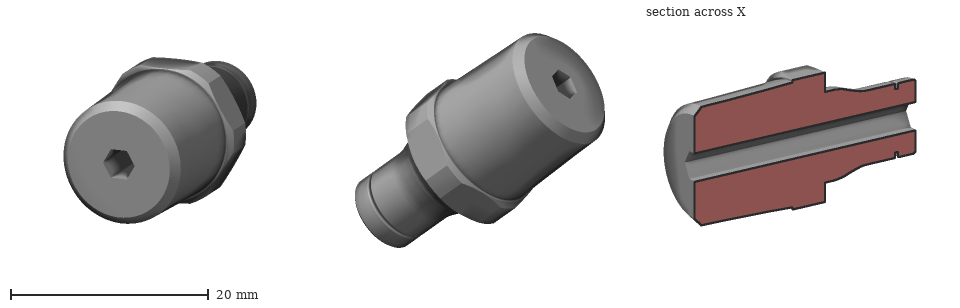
import cadquery as cq
import math


thread_length = 11.9
gauge_length = 6.0
gauge_radius = 13.157 / 2
radial_taper = 1 / 32
thread_chamfer = 0.85

hex_length = 4.0
hex_across_flats = 14.0
hex_corner_radius = 7.5
hex_chamfer_radial = 0.55
hex_chamfer_axial = 0.42

total_length = 26.9
stem_radius = 4.025
stem_chamfer = 0.25
shoulder_radius = 4.925
shoulder_length = 1.1
flare_length = 3.9
flare_slope = math.radians(18.3)

groove_radius = 3.45
groove_width = 0.3
groove_edge_rounding = 0.15
groove_from_end = 2.2

socket_across_flats = 3.0

hex_start = thread_length
hex_end = hex_start + hex_length


def hexagon(across_flats, start, length):
    """Hexagonal bar along Y with corners on the X axis."""
    across_corners = across_flats / math.cos(math.pi / 6)
    return (
        cq.Workplane("XZ", origin=(0, start, 0))
        .polygon(6, across_corners)
        .extrude(-length)
    )


def revolve_about_y(outline):
    """Turn a closed (radius, Y) outline about the Y axis."""
    return outline.close().revolve(360, (0, 0), (0, 1))


def thread_radius(y):
    """Radius of the tapered thread body at position Y."""
    return gauge_radius + (y - gauge_length) * radial_taper


def thread_body():
    """Tapered body with a 45 degree lead-in."""
    lead_radius = thread_radius(thread_chamfer)
    outline = (
        cq.Workplane("XY")
        .lineTo(lead_radius - thread_chamfer, 0)
        .lineTo(lead_radius, thread_chamfer)
        .lineTo(thread_radius(thread_length), thread_length)
        .lineTo(0, thread_length)
    )
    return revolve_about_y(outline)


def hex_collar():
    """Hexagon with its corners turned down to a cylinder and coned at both ends."""
    end_radius = hex_corner_radius - hex_chamfer_radial
    outline = (
        cq.Workplane("XY")
        .moveTo(0, hex_start)
        .lineTo(end_radius, hex_start)
        .lineTo(hex_corner_radius, hex_start + hex_chamfer_axial)
        .lineTo(hex_corner_radius, hex_end - hex_chamfer_axial)
        .lineTo(end_radius, hex_end)
        .lineTo(0, hex_end)
    )
    return hexagon(hex_across_flats, hex_start, hex_length).intersect(revolve_about_y(outline))


def stem():
    """Shoulder, S-shaped flare with a straight cone between two tangent arcs, and plain tube end."""
    flare_start = hex_end + shoulder_length
    flare_end = flare_start + flare_length

    cone_tangent = math.tan(flare_slope)
    half_tangent = math.tan(flare_slope / 2)
    radial_drop = shoulder_radius - stem_radius
    arc_length = (flare_length * cone_tangent - radial_drop) / (2 * (cone_tangent - half_tangent))
    arc_drop = arc_length * half_tangent

    arc_radius = arc_length / math.sin(flare_slope)
    mid_arc_length = arc_radius * math.sin(flare_slope / 2)
    mid_arc_drop = arc_radius * (1 - math.cos(flare_slope / 2))

    outline = (
        cq.Workplane("XY")
        .moveTo(0, hex_end)
        .lineTo(shoulder_radius, hex_end)
        .lineTo(shoulder_radius, flare_start)
        .threePointArc(
            (shoulder_radius - mid_arc_drop, flare_start + mid_arc_length),
            (shoulder_radius - arc_drop, flare_start + arc_length),
        )
        .lineTo(stem_radius + arc_drop, flare_end - arc_length)
        .threePointArc(
            (stem_radius + mid_arc_drop, flare_end - mid_arc_length),
            (stem_radius, flare_end),
        )
        .lineTo(stem_radius, total_length - stem_chamfer)
        .lineTo(stem_radius - stem_chamfer, total_length)
        .lineTo(0, total_length)
    )
    return revolve_about_y(outline)


def groove_cutter():
    """Ring that cuts a narrow groove and rounds off both of its outer edges."""
    groove_top = total_length - groove_from_end
    groove_bottom = groove_top - groove_width
    wall_radius = stem_radius - groove_edge_rounding
    rounding_middle = groove_edge_rounding * (1 - math.sqrt(0.5))
    outline = (
        cq.Workplane("XY")
        .moveTo(groove_radius, groove_bottom)
        .lineTo(wall_radius, groove_bottom)
        .threePointArc(
            (stem_radius - rounding_middle, groove_bottom - rounding_middle),
            (stem_radius, groove_bottom - groove_edge_rounding),
        )
        .lineTo(stem_radius, groove_top + groove_edge_rounding)
        .threePointArc(
            (stem_radius - rounding_middle, groove_top + rounding_middle),
            (wall_radius, groove_top),
        )
        .lineTo(groove_radius, groove_top)
    )
    return revolve_about_y(outline)


socket = hexagon(socket_across_flats, 0, total_length)

result = thread_body().union(hex_collar()).union(stem()).cut(groove_cutter()).cut(socket)